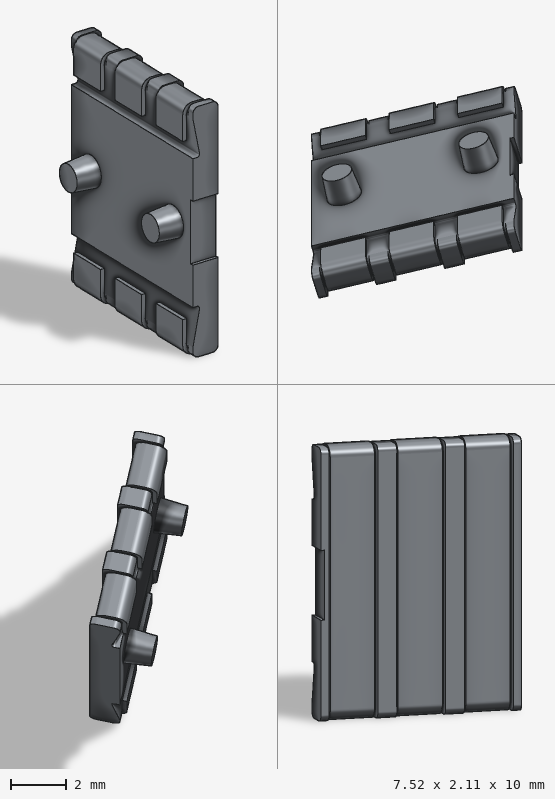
import cadquery as cq
import math

clip_height = 10.0
plate_width = 7.52
plate_height = 9.96
plate_depth = 1.11
corner_radius = 0.25

slope_top = 4.54
ledge_height = 2.96
ledge_depth = 0.32
ledge_fillet = 0.12

clip_count = 3
clip_pitch = 2.54
clip_width = 1.66
clip_thickness = 0.17
clip_end_height = 3.54
channel_width = 1.83
channel_depth = 0.3
core_height = clip_height - 2 * clip_thickness
core_depth = plate_depth - channel_depth

peg_length = 1.0
peg_base_radius = 0.64
peg_tip_radius = 0.55

notch_depth = 0.14
notch_height = 2.54


def bar(x_center, width, y_front, y_back, height):
    """Block centred on Z = 0, spanning y_front to y_back."""
    return cq.Workplane("XY").box(width, y_back - y_front, height).translate(
        (x_center, (y_front + y_back) / 2, 0)
    )


def rounded_bar(x_center, width, y_front, y_back, height, radius):
    """Bar with its four edges along X rounded."""
    return bar(x_center, width, y_front, y_back, height).edges("|X").fillet(radius)


def undercut():
    """Wedge groove across the upper front, with a rounded inner corner."""
    slope_angle = math.atan2(ledge_depth, slope_top - ledge_height)
    half_angle = (math.pi / 2 - slope_angle) / 2
    tangent = ledge_fillet / math.tan(half_angle)
    center_y = ledge_depth - tangent
    center_z = ledge_height + ledge_fillet
    mid_angle = (math.pi / 2 + slope_angle) / 2
    arc_middle = (
        center_y + ledge_fillet * math.sin(mid_angle),
        center_z - ledge_fillet * math.cos(mid_angle),
    )
    arc_end = (
        ledge_depth - tangent * math.sin(slope_angle),
        ledge_height + tangent * math.cos(slope_angle),
    )
    return (
        cq.Workplane("YZ")
        .moveTo(0, slope_top)
        .lineTo(0, ledge_height)
        .lineTo(center_y, ledge_height)
        .threePointArc(arc_middle, arc_end)
        .close()
        .extrude(plate_width / 2, both=True)
    )


def channel(x_center):
    """Ring-shaped cut over both ends and along the back of the plate."""
    core = rounded_bar(x_center, channel_width, 0, core_depth, core_height, corner_radius)
    return bar(x_center, channel_width, 0, plate_depth, clip_height).cut(core)


def clip(x_center):
    """C-shaped strip that hugs the core and is open across the front."""
    outer = rounded_bar(
        x_center,
        clip_width,
        -clip_thickness,
        core_depth + clip_thickness,
        clip_height,
        corner_radius + clip_thickness,
    )
    core = rounded_bar(x_center, clip_width, 0, core_depth, core_height, corner_radius)
    front_opening = bar(x_center, clip_width, -clip_thickness, 0, 2 * clip_end_height)
    return outer.cut(core).cut(front_opening)


def peg(x_center):
    """Tapered round peg pointing toward -Y."""
    cone = cq.Solid.makeCone(
        peg_base_radius,
        peg_tip_radius,
        peg_length,
        pnt=cq.Vector(x_center, 0, 0),
        dir=cq.Vector(0, -1, 0),
    )
    return cq.Workplane(obj=cone)


plate = rounded_bar(0, plate_width, 0, plate_depth, plate_height, corner_radius)
upper_undercut = undercut()
plate = plate.cut(upper_undercut).cut(upper_undercut.mirror("XY"))

plate = plate.cut(bar(plate_width / 2 - notch_depth / 2, notch_depth, 0, plate_depth, notch_height))

clip_centers = [(i - (clip_count - 1) / 2) * clip_pitch for i in range(clip_count)]
for x in clip_centers:
    plate = plate.cut(channel(x)).union(clip(x))

for x in (clip_centers[0], clip_centers[-1]):
    plate = plate.union(peg(x))

result = plate